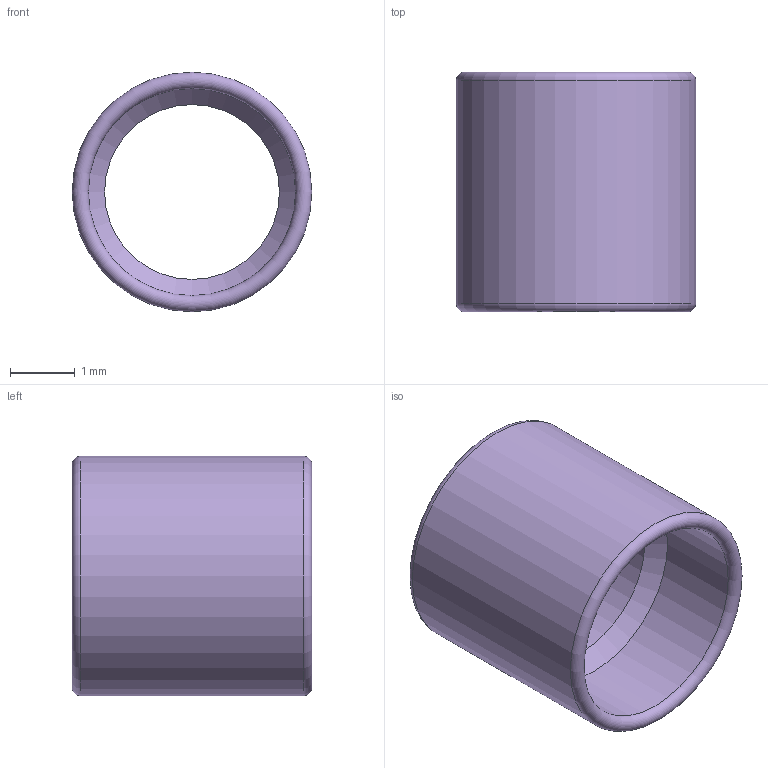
import cadquery as cq
import math

length = 3.7
outer_diameter = 3.7
counterbore_diameter = 3.2
bore_diameter = 2.7
counterbore_depth = 1.45
seat_half_angle = 45.0

outer_radius = outer_diameter / 2
counterbore_radius = counterbore_diameter / 2
bore_radius = bore_diameter / 2
rim_radius = (outer_radius - counterbore_radius) / 2
crown_radius = outer_radius - rim_radius
seat_length = (counterbore_radius - bore_radius) / math.tan(math.radians(seat_half_angle))
front_y = -length / 2
back_y = length / 2
counterbore_end_y = front_y + counterbore_depth
seat_end_y = counterbore_end_y + seat_length


def sleeve_body():
    """Half section of the sleeve, revolved about Y: counterbore, conical seat, through bore."""
    arc_middle_offset = rim_radius * math.sqrt(0.5)
    return (
        cq.Workplane("XY")
        .moveTo(bore_radius, back_y)
        .lineTo(bore_radius, seat_end_y)
        .lineTo(counterbore_radius, counterbore_end_y)
        .lineTo(counterbore_radius, front_y + rim_radius)
        .threePointArc((crown_radius, front_y), (outer_radius, front_y + rim_radius))
        .lineTo(outer_radius, back_y - rim_radius)
        .threePointArc(
            (crown_radius + arc_middle_offset, back_y - rim_radius + arc_middle_offset),
            (crown_radius, back_y),
        )
        .close()
        .revolve(360, (0, 0, 0), (0, 1, 0))
    )


result = sleeve_body()